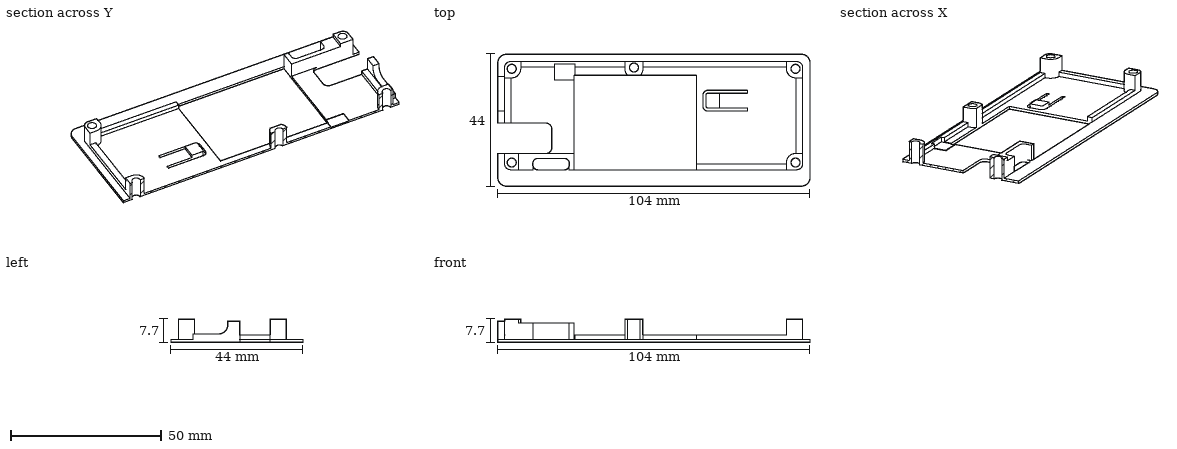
import cadquery as cq

LENGTH = 104.0
WIDTH = 44.0
PLATE_THICKNESS = 1.0
PLATE_RADIUS = 3.0

FRAME_LEFT = 2.3
FRAME_RIGHT = LENGTH - 2.5
FRAME_FRONT = 5.5
FRAME_BACK = WIDTH - 2.5
FRAME_RADIUS = 2.0
RAIL_TOP = 2.5
END_RAIL_WIDTH = 2.2
SIDE_RAIL_WIDTH = 1.9

POST_TOP = 7.7
POST_RADIUS = 3.0
HOLE_DIAMETER = 2.9
HOLE_INSET = 2.4
HOLE_LEFT = FRAME_LEFT + HOLE_INSET
HOLE_RIGHT = FRAME_RIGHT - HOLE_INSET
HOLE_FRONT = FRAME_FRONT + HOLE_INSET
HOLE_BACK = FRAME_BACK - HOLE_INSET
MIDDLE_HOLE_X = 45.3
MIDDLE_HOLE_Y = 39.5
FRONT_LEFT_POST_END = 7.0

WINDOW_LEFT = 25.5
WINDOW_RIGHT = 66.1
WINDOW_BACK = 36.9

NOTCH_DEPTH = 18.0
NOTCH_FRONT = 10.9
NOTCH_BACK = 21.0
NOTCH_RADIUS = 2.0

WALL_BACK = 36.6
WALL_TOP = 7.1
WALL_LOW_TOP = 2.8
WALL_HIGH_LENGTH = 4.1
WALL_ARC_RADIUS = 3.0

BLOCK_TOP = 6.5
SLOT_LEFT = 11.8
SLOT_RIGHT = 23.8
SLOT_BACK = 9.3
SLOT_RADIUS = 1.6

RECESS_LEFT = 18.9
RECESS_RIGHT = 25.8
RECESS_FRONT = 35.4
RECESS_BACK = 40.8
RECESS_DEPTH = 0.2

TONGUE_LEFT = 69.3
TONGUE_ROOT = 83.1
TONGUE_FRONT = 26.0
TONGUE_BACK = 31.0
TONGUE_GAP = 0.9
TONGUE_RADIUS = 0.7
TAB_LENGTH = 4.5
TAB_TOP = 2.0


def box(x0, x1, y0, y1, z0, z1):
    """Block between two opposite corners."""
    return cq.Workplane("XY").box(x1 - x0, y1 - y0, z1 - z0, centered=False).translate((x0, y0, z0))


def rounded_box(x0, x1, y0, y1, z0, z1, radius, edges="|Z"):
    """Block whose selected edges are rounded."""
    return box(x0, x1, y0, y1, z0, z1).edges(edges).fillet(radius)


def frame_body(top):
    """Solid filling the rounded outline of the frame up to the given height."""
    return rounded_box(FRAME_LEFT, FRAME_RIGHT, FRAME_FRONT, FRAME_BACK, 0, top, FRAME_RADIUS)


def rails():
    """Low rim that runs around the inside of the frame outline."""
    inside = box(
        FRAME_LEFT + END_RAIL_WIDTH,
        FRAME_RIGHT - END_RAIL_WIDTH,
        FRAME_FRONT + SIDE_RAIL_WIDTH,
        FRAME_BACK - SIDE_RAIL_WIDTH,
        0,
        RAIL_TOP,
    )
    return frame_body(RAIL_TOP).cut(inside)


def corner_post(x, y, x_side, y_side):
    """Post reaching into a frame corner, with a round inner corner about its hole."""
    reach = 2 * POST_RADIUS
    x0, x1 = sorted((x - x_side * POST_RADIUS, x + x_side * reach))
    y0, y1 = sorted((y - y_side * POST_RADIUS, y + y_side * reach))
    x_end = "<X" if x_side > 0 else ">X"
    y_end = "<Y" if y_side > 0 else ">Y"
    inner_corner = f"|Z and {x_end} and {y_end}"
    post = rounded_box(x0, x1, y0, y1, 0, POST_TOP, POST_RADIUS, inner_corner)
    return post.intersect(frame_body(POST_TOP))


def middle_post():
    """Post on the back rail, rounded on its inner side."""
    round_side = cq.Workplane("XY").center(MIDDLE_HOLE_X, HOLE_BACK).circle(POST_RADIUS).extrude(POST_TOP)
    square_side = box(
        MIDDLE_HOLE_X - POST_RADIUS, MIDDLE_HOLE_X + POST_RADIUS, HOLE_BACK, FRAME_BACK, 0, POST_TOP
    )
    return round_side.union(square_side).intersect(frame_body(POST_TOP))


def front_block():
    """Front left post and the lower block beside it."""
    post = box(FRAME_LEFT, FRONT_LEFT_POST_END, FRAME_FRONT, NOTCH_FRONT, 0, POST_TOP)
    block = box(FRAME_LEFT, WINDOW_LEFT, FRAME_FRONT, NOTCH_FRONT, 0, BLOCK_TOP)
    return post.union(block).intersect(frame_body(POST_TOP))


def block_slot():
    """Slot that is open to the front in the block and closed all round in the plate."""
    in_block = rounded_box(
        SLOT_LEFT, SLOT_RIGHT, FRAME_FRONT, SLOT_BACK, PLATE_THICKNESS, POST_TOP, SLOT_RADIUS, "|Z and >Y"
    )
    in_plate = rounded_box(
        SLOT_LEFT, SLOT_RIGHT, FRAME_FRONT, SLOT_BACK, 0, PLATE_THICKNESS, SLOT_RADIUS
    )
    return in_block.union(in_plate)


def left_wall():
    """End wall that drops from its high end to its low end through a concave arc."""
    high_end = NOTCH_BACK + WALL_HIGH_LENGTH
    arc_top = WALL_LOW_TOP + WALL_ARC_RADIUS
    diagonal = WALL_ARC_RADIUS * 0.5**0.5
    arc_center_y = high_end + WALL_ARC_RADIUS
    return (
        cq.Workplane("YZ")
        .moveTo(NOTCH_BACK, 0)
        .lineTo(NOTCH_BACK, WALL_TOP)
        .lineTo(high_end, WALL_TOP)
        .lineTo(high_end, arc_top)
        .threePointArc((arc_center_y - diagonal, arc_top - diagonal), (arc_center_y, WALL_LOW_TOP))
        .lineTo(WALL_BACK, WALL_LOW_TOP)
        .lineTo(WALL_BACK, 0)
        .close()
        .extrude(FRAME_LEFT)
    )


def tongue_cut():
    """U-shaped gap around the spring tongue."""
    outer = rounded_box(
        TONGUE_LEFT - TONGUE_GAP,
        TONGUE_ROOT,
        TONGUE_FRONT - TONGUE_GAP,
        TONGUE_BACK + TONGUE_GAP,
        0,
        PLATE_THICKNESS,
        TONGUE_RADIUS + TONGUE_GAP,
        "|Z and <X",
    )
    tongue = rounded_box(
        TONGUE_LEFT, TONGUE_ROOT, TONGUE_FRONT, TONGUE_BACK, 0, PLATE_THICKNESS, TONGUE_RADIUS, "|Z and <X"
    )
    return outer.cut(tongue)


part = rounded_box(0, LENGTH, 0, WIDTH, 0, PLATE_THICKNESS, PLATE_RADIUS)
part = part.union(rails()).union(left_wall())

notch = rounded_box(0, NOTCH_DEPTH, NOTCH_FRONT, NOTCH_BACK, 0, POST_TOP, NOTCH_RADIUS, "|Z and >X")
recess_floor = PLATE_THICKNESS - RECESS_DEPTH
recess = box(RECESS_LEFT, RECESS_RIGHT, RECESS_FRONT, RECESS_BACK, recess_floor, POST_TOP)
part = part.cut(notch).cut(recess).cut(tongue_cut())

part = part.union(front_block()).union(middle_post())
for hole_x, hole_y, x_side, y_side in (
    (HOLE_LEFT, HOLE_BACK, -1, 1),
    (HOLE_RIGHT, HOLE_BACK, 1, 1),
    (HOLE_RIGHT, HOLE_FRONT, 1, -1),
):
    part = part.union(corner_post(hole_x, hole_y, x_side, y_side))
tab = rounded_box(
    TONGUE_LEFT, TONGUE_LEFT + TAB_LENGTH, TONGUE_FRONT, TONGUE_BACK, 0, TAB_TOP, TONGUE_RADIUS, "|Z and <X"
)
part = part.union(tab)

window = box(WINDOW_LEFT, WINDOW_RIGHT, FRAME_FRONT, WINDOW_BACK, 0, POST_TOP)
hole_centers = [
    (HOLE_LEFT, HOLE_FRONT),
    (HOLE_LEFT, HOLE_BACK),
    (HOLE_RIGHT, HOLE_FRONT),
    (HOLE_RIGHT, HOLE_BACK),
    (MIDDLE_HOLE_X, MIDDLE_HOLE_Y),
]
holes = cq.Workplane("XY").pushPoints(hole_centers).circle(HOLE_DIAMETER / 2).extrude(POST_TOP)
result = part.cut(window).cut(block_slot()).cut(holes)